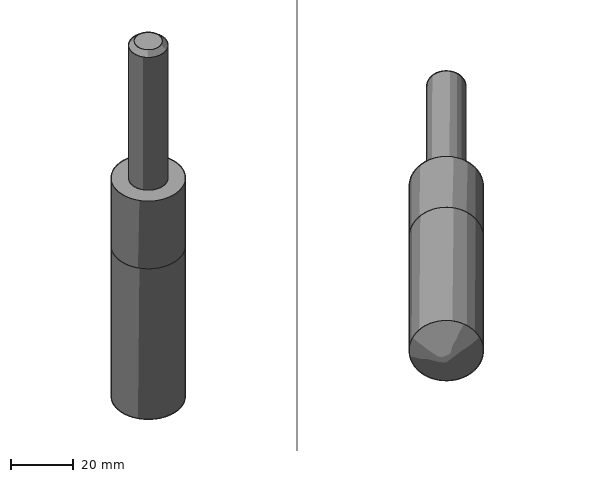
import cadquery as cq

total_length = 152.4
body_diameter = 23.8
shank_diameter = 12.6
tip_height = 6.9
joint_height = 68.6
shoulder_height = 96.3
chamfer_height = 1.7
chamfer_width = 1.8

body_radius = body_diameter / 2
shank_radius = shank_diameter / 2


def make_cutter():
    """Lower cylinder that ends in a conical point."""
    return (
        cq.Workplane("XZ")
        .moveTo(0, 0)
        .lineTo(body_radius, tip_height)
        .lineTo(body_radius, joint_height)
        .lineTo(0, joint_height)
        .close()
        .revolve(360, (0, 0), (0, 1))
    )


def make_holder():
    """Upper cylinder with its slimmer shank, chamfered at the free end."""
    collar = (
        cq.Workplane("XY")
        .workplane(offset=joint_height)
        .circle(body_radius)
        .extrude(shoulder_height - joint_height)
    )
    shank = (
        cq.Workplane("XY")
        .workplane(offset=shoulder_height)
        .circle(shank_radius)
        .extrude(total_length - shoulder_height)
        .faces(">Z")
        .chamfer(chamfer_height, chamfer_width)
    )
    return collar.union(shank)


cutter = make_cutter()
holder = make_holder()

result = cq.Compound.makeCompound([cutter.val(), holder.val()])